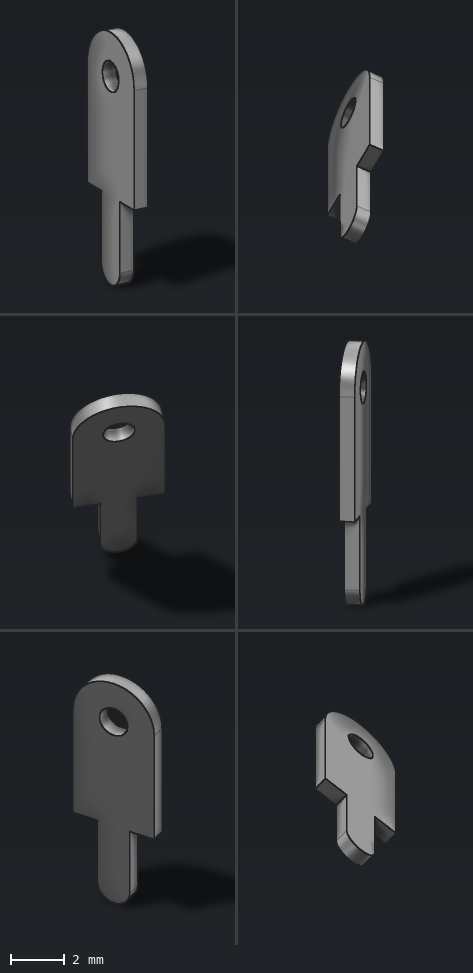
import cadquery as cq

total_height = 10.0
thickness = 0.6
body_width = 3.5
tab_width = 1.4
tab_length = 3.5
hole_diameter = 1.2

body_radius = body_width / 2
tab_radius = tab_width / 2
eye_height = total_height - body_radius


def terminal_plate():
    """Flat plate with a round head and a narrower, round-ended tab below it."""
    return (
        cq.Workplane("XZ")
        .moveTo(-tab_radius, tab_radius)
        .threePointArc((0, 0), (tab_radius, tab_radius))
        .lineTo(tab_radius, tab_length)
        .lineTo(body_radius, tab_length)
        .lineTo(body_radius, eye_height)
        .threePointArc((0, total_height), (-body_radius, eye_height))
        .lineTo(-body_radius, tab_length)
        .lineTo(-tab_radius, tab_length)
        .close()
        .extrude(thickness / 2, both=True)
    )


def eye_hole():
    """Through hole concentric with the round head."""
    return (
        cq.Workplane("XZ", origin=(0, thickness / 2, eye_height))
        .circle(hole_diameter / 2)
        .extrude(thickness)
    )


result = terminal_plate().cut(eye_hole())